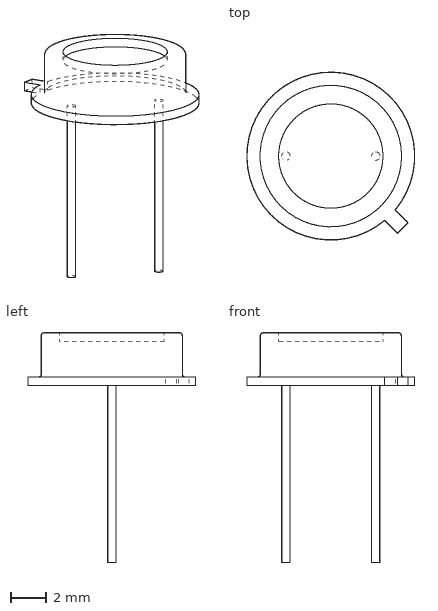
import cadquery as cq

flange_diameter = 9.5
flange_thickness = 0.5

cap_diameter = 8.0
cap_height = 2.5
cap_top_radius = 0.2
cap_foot_radius = 0.12

window_diameter = 5.9
window_depth = 0.5

lead_diameter = 0.48
lead_length = 10.0
lead_spacing = 5.08

tab_width = 0.85
tab_reach = 5.76
tab_angle = -45.0


def make_flange():
    return cq.Workplane("XY").circle(flange_diameter / 2).extrude(flange_thickness)


def make_tab():
    """Radial bar from the flange axis out past the rim, flush with both flange faces."""
    bar = cq.Workplane("XY").box(tab_reach, tab_width, flange_thickness, centered=(False, True, False))
    return bar.rotate((0, 0, 0), (0, 0, 1), tab_angle)


def make_cap():
    """Revolved cap with a rounded top edge and a concave flare at its foot."""
    radius = cap_diameter / 2
    foot_z = flange_thickness
    top_z = flange_thickness + cap_height
    profile = (
        cq.Workplane("XZ")
        .moveTo(0, foot_z)
        .lineTo(radius + cap_foot_radius, foot_z)
        .radiusArc((radius, foot_z + cap_foot_radius), cap_foot_radius)
        .lineTo(radius, top_z - cap_top_radius)
        .radiusArc((radius - cap_top_radius, top_z), -cap_top_radius)
        .lineTo(0, top_z)
        .close()
    )
    return profile.revolve(360, (0, 0, 0), (0, 1, 0))


def cut_window(body):
    window = (
        cq.Workplane("XY")
        .workplane(offset=flange_thickness + cap_height - window_depth)
        .circle(window_diameter / 2)
        .extrude(window_depth)
    )
    return body.cut(window)


def make_leads():
    half_spacing = lead_spacing / 2
    return (
        cq.Workplane("XY")
        .pushPoints([(-half_spacing, 0), (half_spacing, 0)])
        .circle(lead_diameter / 2)
        .extrude(-lead_length)
    )


header = make_flange().union(make_tab())
result = cut_window(header.union(make_cap())).union(make_leads())